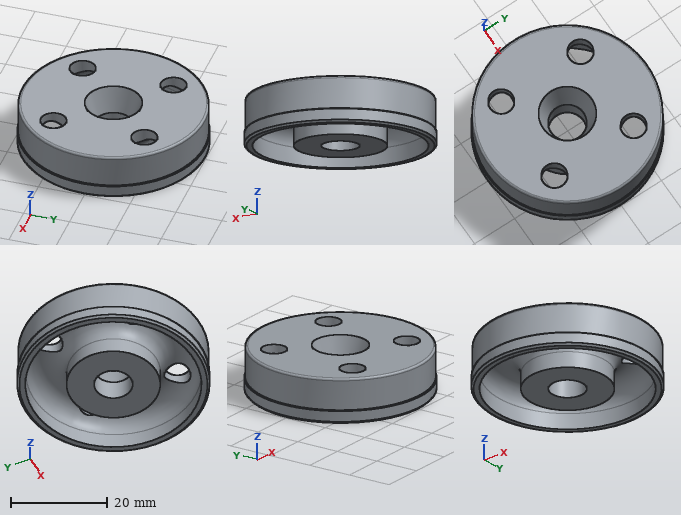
import cadquery as cq
import math

flange_diameter = 40.0
body_diameter = 39.6
height = 10.0
flange_height = 3.0
edge_size = 0.5
flange_bevel = (flange_diameter - body_diameter) / 2

cone_diameter = 12.0
bore_diameter = 8.0
cone_depth = 5.3

hole_diameter = 5.5
hole_spacing = 19.8

roof_thickness = 2.0
groove_width = 8.55
groove_radius = groove_width / 2
groove_circle_radius = hole_spacing / math.sqrt(2)


def make_body():
    flange = (
        cq.Workplane("XY")
        .circle(flange_diameter / 2)
        .extrude(flange_height)
        .faces("<Z").chamfer(edge_size)
        .faces(">Z").chamfer(flange_bevel)
    )
    body = (
        cq.Workplane("XY")
        .workplane(offset=edge_size)
        .circle(body_diameter / 2)
        .extrude(height - edge_size)
        .faces(">Z").edges().fillet(edge_size)
    )
    return flange.union(body)


def make_groove():
    groove_top = height - roof_thickness
    arch_base = groove_top - groove_radius
    inner_radius = groove_circle_radius - groove_radius
    outer_radius = groove_circle_radius + groove_radius
    return (
        cq.Workplane("XZ")
        .moveTo(inner_radius, 0)
        .lineTo(outer_radius, 0)
        .lineTo(outer_radius, arch_base)
        .threePointArc((groove_circle_radius, groove_top), (inner_radius, arch_base))
        .close()
        .revolve(360, (0, 0, 0), (0, 1, 0))
    )


def make_central_hole():
    cone_bottom = height - cone_depth
    return (
        cq.Workplane("XZ")
        .moveTo(0, 0)
        .lineTo(bore_diameter / 2, 0)
        .lineTo(bore_diameter / 2, cone_bottom)
        .lineTo(cone_diameter / 2, height)
        .lineTo(0, height)
        .close()
        .revolve(360, (0, 0, 0), (0, 1, 0))
    )


def make_corner_holes():
    return (
        cq.Workplane("XY")
        .rect(hole_spacing, hole_spacing, forConstruction=True)
        .vertices()
        .circle(hole_diameter / 2)
        .extrude(height)
    )


result = (
    make_body()
    .cut(make_groove())
    .cut(make_central_hole())
    .cut(make_corner_holes())
)